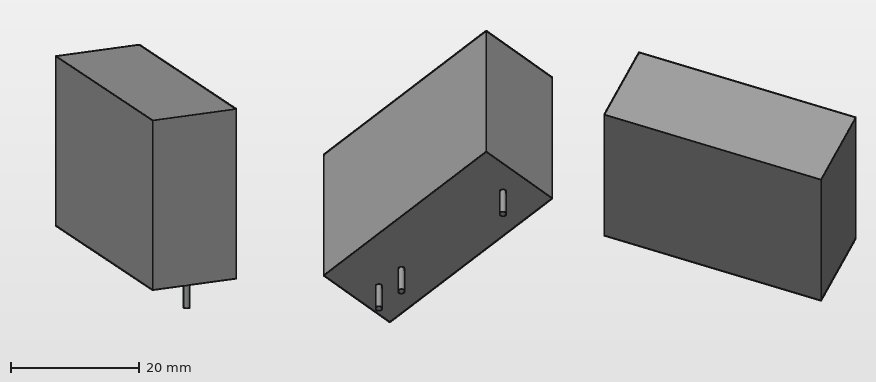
import cadquery as cq

housing_length = 36.6
housing_width = 14.35
overall_height = 32.9
pin_length = 5.1
housing_height = overall_height - pin_length

pin_diameter = 1.0
near_pin_spacing = 5.08
row_length = 27.94
pin_positions = [0, near_pin_spacing, row_length]

end_margin = (housing_length - row_length) / 2
back_margin = 6.55


def make_housing():
    """Plain block with its underside on Z = 0."""
    block = cq.Workplane("XY").box(housing_length, housing_width, housing_height, centered=False)
    return block.translate((-end_margin, back_margin - housing_width, 0))


def make_pin(x):
    """Round pin hanging from the housing underside at the given X."""
    return cq.Workplane("XY").center(x, 0).circle(pin_diameter / 2).extrude(-pin_length)


housing = make_housing()
pins = [make_pin(x) for x in pin_positions]

result = cq.Compound.makeCompound([housing.val(), *[pin.val() for pin in pins]])